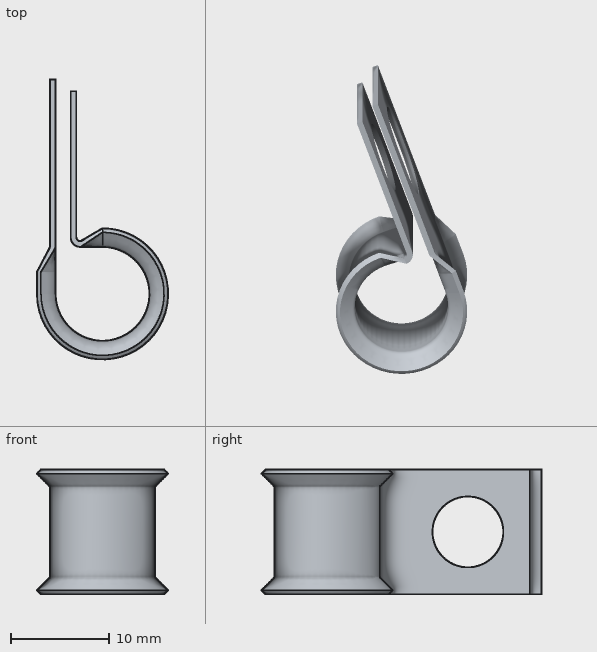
import cadquery as cq
import math

total_length = 28.47
strip_width = 12.7
thickness = 0.6
loop_radius = 4.75
flare_diameter = 13.35
flare_angle = 45.0
flare_bend = 0.2
arm_gap = 1.5
short_arm_setback = 1.2
arm_bend = 0.4
straight_flare = 2.22
hole_diameter = 7.17
slot_length = 9.5
hole_setback = 7.5

half_width = strip_width / 2
flare_radius = flare_diameter / 2
outer_radius = loop_radius + thickness
long_arm_end = total_length - flare_radius
short_arm_end = long_arm_end - short_arm_setback
short_arm_left = -loop_radius + arm_gap
short_arm_right = short_arm_left + thickness
bend_end = short_arm_right + arm_bend
bend_center_y = outer_radius + arm_bend
long_arm_start = loop_radius
hole_y = long_arm_end - hole_setback

angle = math.radians(flare_angle)
sine = math.sin(angle)
cosine = math.cos(angle)
inner_tip = (flare_radius - thickness * cosine, half_width)
outer_tip = (flare_radius, half_width - thickness * sine)
bend_center_r = outer_radius + flare_bend
outer_bend_r = bend_center_r - flare_bend * cosine
outer_bend_z = outer_tip[1] - (flare_radius - outer_bend_r) / math.tan(angle)
bend_start_z = outer_bend_z - flare_bend * sine


def bend_point(radius, turn):
    """Point on the flare bend after the strip has turned through an angle."""
    return (bend_center_r - radius * math.cos(turn), bend_start_z + radius * math.sin(turn))


def flare_profile(plane):
    outer_bend = flare_bend
    inner_bend = flare_bend + thickness
    return (
        cq.Workplane(plane)
        .moveTo(*bend_point(inner_bend, 0))
        .threePointArc(bend_point(inner_bend, angle / 2), bend_point(inner_bend, angle))
        .lineTo(*inner_tip)
        .lineTo(*outer_tip)
        .lineTo(*bend_point(outer_bend, angle))
        .threePointArc(bend_point(outer_bend, angle / 2), bend_point(outer_bend, 0))
        .close()
    )


def flat_profile(plane):
    """Unflared strip edge, with one point for each corner of the flare profile."""
    inner_bend_z = bend_point(flare_bend + thickness, angle)[1]
    return cq.Workplane(plane).polyline([
        (loop_radius, bend_start_z),
        (loop_radius, inner_bend_z),
        (loop_radius, half_width),
        (outer_radius, half_width),
        (outer_radius, outer_bend_z),
        (outer_radius, bend_start_z),
    ]).close()


def left_plane(y):
    """Section across the strip beside the long arm, with outward toward -X."""
    return cq.Plane(origin=(0, y, 0), xDir=(-1, 0, 0), normal=(0, 1, 0))


def back_plane(x):
    """Section across the strip behind the loop, with outward toward +Y."""
    return cq.Plane(origin=(x, 0, 0), xDir=(0, 1, 0), normal=(1, 0, 0))


def transition(flared_plane, flat_plane):
    flared = flare_profile(flared_plane).wire().val()
    flat = flat_profile(flat_plane).wire().val()
    return cq.Workplane(cq.Solid.makeLoft([flared, flat], True))


def upper_rim():
    ring = flare_profile(left_plane(0)).revolve(270, (0, 0), (0, 1))
    straight = flare_profile(left_plane(0)).extrude(straight_flare)
    return (
        ring.union(straight)
        .union(transition(left_plane(straight_flare), left_plane(long_arm_start)))
        .union(transition(back_plane(0), back_plane(bend_end)))
    )


def upright(sketch, half_height):
    return sketch.extrude(half_height, both=True)


def loop_wall():
    """Unflared middle of the strip around the loop, between the two arms."""
    diagonal = math.sqrt(0.5)
    outline = (
        cq.Workplane("XY")
        .moveTo(-loop_radius, long_arm_start)
        .lineTo(-loop_radius, 0)
        .threePointArc((loop_radius * diagonal, -loop_radius * diagonal), (0, loop_radius))
        .lineTo(bend_end, loop_radius)
        .lineTo(bend_end, outer_radius)
        .lineTo(0, outer_radius)
        .threePointArc((outer_radius * diagonal, -outer_radius * diagonal), (-outer_radius, 0))
        .lineTo(-outer_radius, long_arm_start)
        .close()
    )
    return upright(outline, bend_start_z)


def drill(arm, cutter):
    return arm.cut(cutter.extrude(2 * thickness, both=True))


def hole_sketch(x):
    plane = cq.Plane(origin=(x, hole_y, 0), xDir=(0, 1, 0), normal=(1, 0, 0))
    return cq.Workplane(plane)


def long_arm():
    length = long_arm_end - long_arm_start
    outline = cq.Workplane("XY").moveTo(-outer_radius, long_arm_start).rect(thickness, length, centered=False)
    slot = hole_sketch(-outer_radius).slot2D(slot_length, hole_diameter)
    return drill(upright(outline, half_width), slot)


def short_arm():
    outline = (
        cq.Workplane("XY")
        .moveTo(bend_end, loop_radius)
        .radiusArc((short_arm_left, bend_center_y), arm_bend + thickness)
        .lineTo(short_arm_left, short_arm_end)
        .lineTo(short_arm_right, short_arm_end)
        .lineTo(short_arm_right, bend_center_y)
        .radiusArc((bend_end, outer_radius), -arm_bend)
        .close()
    )
    hole = hole_sketch(short_arm_left).circle(hole_diameter / 2)
    return drill(upright(outline, half_width), hole)


rim = upper_rim()
result = (
    loop_wall()
    .union(rim)
    .union(rim.mirror("XY"))
    .union(long_arm())
    .union(short_arm())
)